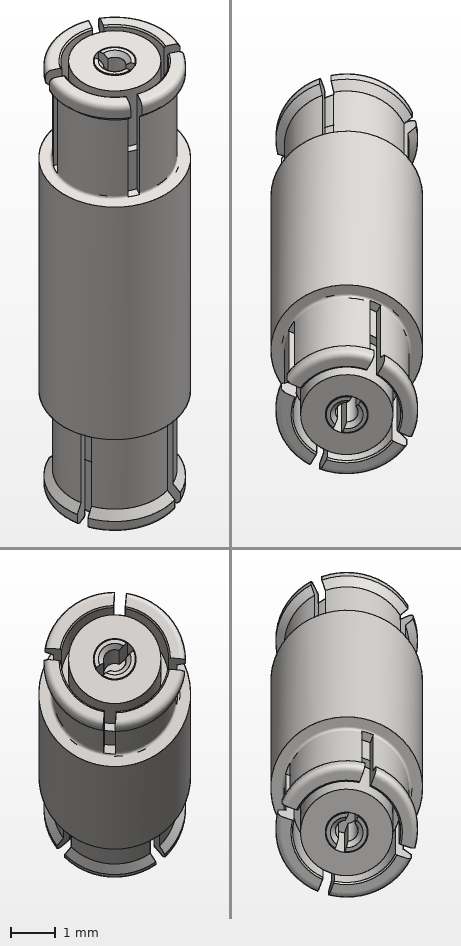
import cadquery as cq
import math

total_length = 12.59
body_radius = 1.7
neck_length = 2.86

neck_radius = 1.4
root_fillet = 0.06
lip_radius = 1.59
lip_rounding = 0.14
lip_straight_end = 0.34
lip_cone_end = 0.54

insulator_radius = 1.03
bore_radius = 1.21
bore_chamfer = 0.04
gap_depth = 1.67

finger_count = 4
slot_width = 0.26
slot_depth = 2.83
top_slot_angle = 45.0
bottom_slot_angle = 0.0

contact_radius = 0.48
contact_edge_chamfer = 0.019
socket_radius = 0.25
socket_chamfer = 0.11
socket_depth = 1.26
cross_slot_width = 0.23


def collar_blank():
    """Solid neck with a rounded lip, end face at Z = 0, running down to the shoulder."""
    rounding_offset = lip_rounding * math.sqrt(0.5)
    fillet_offset = root_fillet * math.sqrt(0.5)
    return (
        cq.Workplane("XZ")
        .moveTo(0, 0)
        .lineTo(lip_radius - lip_rounding, 0)
        .threePointArc(
            (lip_radius - lip_rounding + rounding_offset, -lip_rounding + rounding_offset),
            (lip_radius, -lip_rounding),
        )
        .lineTo(lip_radius, -lip_straight_end)
        .lineTo(neck_radius, -lip_cone_end)
        .lineTo(neck_radius, -neck_length + root_fillet)
        .threePointArc(
            (neck_radius + root_fillet - fillet_offset, -neck_length + root_fillet - fillet_offset),
            (neck_radius + root_fillet, -neck_length),
        )
        .lineTo(0, -neck_length)
        .close()
        .revolve(360, (0, 0, 0), (0, 1, 0))
    )


def ring_gap():
    """Gap around the insulator, with a chamfered mouth in the lip."""
    return (
        cq.Workplane("XZ")
        .moveTo(insulator_radius, 0)
        .lineTo(bore_radius + bore_chamfer, 0)
        .lineTo(bore_radius, -bore_chamfer)
        .lineTo(bore_radius, -gap_depth)
        .lineTo(insulator_radius, -gap_depth)
        .close()
        .revolve(360, (0, 0, 0), (0, 1, 0))
    )


def finger_slots(first_angle):
    """Radial slots through the collar wall, leaving everything inside the bore radius."""
    slots = cq.Workplane("XY")
    for index in range(finger_count):
        slot = (
            cq.Workplane("XY")
            .box(body_radius, slot_width, slot_depth, centered=(False, True, False))
            .translate((0, 0, -slot_depth))
            .rotate((0, 0, 0), (0, 0, 1), first_angle + index * 360 / finger_count)
        )
        slots = slots.union(slot)
    core = cq.Workplane("XY").circle(bore_radius).extrude(-slot_depth)
    return slots.cut(core)


def contact_edge_groove():
    """V-groove left by the chamfered rim of the contact inside the insulator."""
    return (
        cq.Workplane("XZ")
        .moveTo(contact_radius, 0)
        .lineTo(contact_radius, -contact_edge_chamfer)
        .lineTo(contact_radius - contact_edge_chamfer, 0)
        .close()
        .revolve(360, (0, 0, 0), (0, 1, 0))
    )


def contact_socket():
    """Round socket with a chamfered mouth, crossed by a slot of the same depth."""
    hole = (
        cq.Workplane("XZ")
        .moveTo(0, 0)
        .lineTo(socket_radius + socket_chamfer, 0)
        .lineTo(socket_radius, -socket_chamfer)
        .lineTo(socket_radius, -socket_depth)
        .lineTo(0, -socket_depth)
        .close()
        .revolve(360, (0, 0, 0), (0, 1, 0))
    )
    cross_slot = (
        cq.Workplane("XY")
        .rect(2 * contact_radius, cross_slot_width)
        .extrude(-socket_depth)
        .intersect(cq.Workplane("XY").circle(contact_radius).extrude(-socket_depth))
    )
    return hole.union(cross_slot)


def connector_end(first_angle):
    """Complete slotted connector end, with its end face at Z = 0."""
    return (
        collar_blank()
        .cut(ring_gap())
        .cut(finger_slots(first_angle))
        .cut(contact_socket())
        .cut(contact_edge_groove())
    )


top_end = connector_end(top_slot_angle).translate((0, 0, total_length / 2))
bottom_end = (
    connector_end(bottom_slot_angle)
    .rotate((0, 0, 0), (1, 0, 0), 180)
    .translate((0, 0, -total_length / 2))
)
body_length = total_length - 2 * neck_length
body = cq.Workplane("XY").circle(body_radius).extrude(body_length).translate((0, 0, -body_length / 2))

result = body.union(top_end).union(bottom_end)